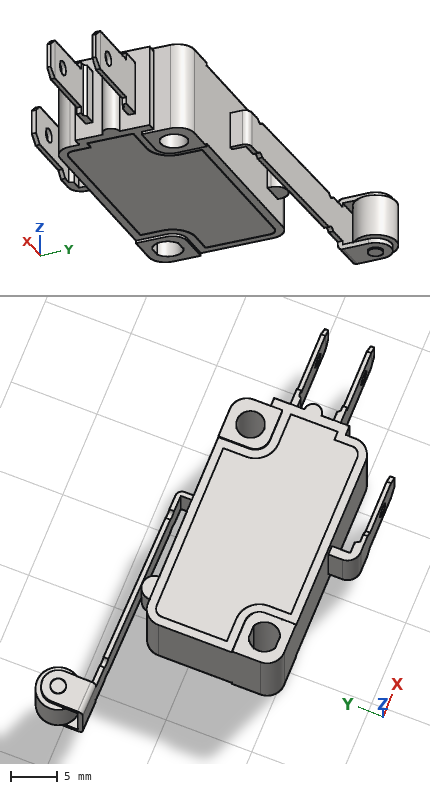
import cadquery as cq
import math


overall_length = 52.0
terminal_end_x = 39.5

body_length = 27.85
body_width = 15.85
corner_radius = 2.0
pad_half_height = 5.15
panel_half_height = 4.9
frame_half_height = 4.85
relief_margin = 1.0

hole_diameter = 3.1
front_hole_diameter = 3.45
front_hole = (2.85, 2.65)
rear_hole = (25.05, 13.1)
front_pad_size = (5.45, 5.3)
rear_pad_size = (5.35, 5.35)
pad_inner_radius = 1.7
panel_step_y = (4.05, 9.5)

tab_length = 1.1
tab_y = (3.1, 11.9)
bump_radius = 1.0
bump_y = 7.4

blade_thickness = 0.5
blade_wide = 6.25
blade_narrow = 4.7
blade_tip_width = 2.8
tip_length = 1.05
tip_end_thickness = 0.4
terminal_z = 0.05
embed = 1.05

straight_root_thickness = 0.85
straight_root_end_x = 30.5
straight_step_x = 31.4
straight_hole_diameter = 1.6
straight_hole_x = 36.3
straight_outer_y = (4.35, 10.25)

common_thickness = 1.05
common_leg_x = 14.9
common_bottom_y = -3.15
common_bend_radius = 1.55
common_root_end_x = 17.25
common_step_x = (18.45, 19.2)
common_end_x = 26.35
common_hole_diameter = 1.6
common_hole_x = 22.85
root_slope = 0.3

roller_diameter = 4.95
roller_width = 4.9
roller_x = terminal_end_x - overall_length + roller_diameter / 2
roller_y = 21.55
pin_diameter = 1.7
pin_length = 6.6
metal_thickness = 0.55
lever_width = 4.2
lever_tilt = math.radians(1.0)
lever_leg_x = 16.2
lever_corner_y = 18.05
lever_bend_radius = 0.8
notch_positions = (-5.25, 13.2)
notch_radius = 0.6
notch_depth = 0.3
fork_width = 3.75
fork_height = 6.25
fork_bend_radius = 0.6

plunger_radius = 1.4
plunger_center = (4.75, 16.2)


def centered_prism(sketch, height, z=0.0):
    """Extrude an XY sketch by the full height, centred on the given Z."""
    return sketch.extrude(height).translate((0, 0, z - height / 2))


def block(x_range, y_range, height):
    """Box from its X and Y limits, centred on Z = 0."""
    length = x_range[1] - x_range[0]
    width = y_range[1] - y_range[0]
    sketch = cq.Workplane("XY").rect(length, width, centered=False)
    return centered_prism(sketch, height).translate((x_range[0], y_range[0], 0))


def corner_zones(margin, height):
    """Blocks at the two mounting corners, grown inward by the margin."""
    front_x = front_pad_size[0] + margin
    front_y = front_pad_size[1] + margin
    rear_x = body_length - rear_pad_size[0] - margin
    rear_y = body_width - rear_pad_size[1] - margin
    radius = pad_inner_radius + margin
    front = block((0, front_x), (0, front_y), height).edges("|Z and >X and >Y").fillet(radius)
    rear = block((rear_x, body_length), (rear_y, body_width), height)
    return front.union(rear.edges("|Z and <X and <Y").fillet(radius))


def make_housing():
    body_x = (0, body_length)
    body_y = (0, body_width)
    frame = block(body_x, body_y, 2 * frame_half_height).edges("|Z").fillet(corner_radius)
    outline = block(body_x, body_y, 2 * pad_half_height).edges("|Z").fillet(corner_radius)
    pads = corner_zones(0, 2 * pad_half_height).intersect(outline)

    panel_height = 2 * panel_half_height
    panel_x = (relief_margin, body_length - relief_margin)
    panel_y = (relief_margin, body_width - relief_margin)
    panel = block(panel_x, panel_y, panel_height).edges("|Z").fillet(corner_radius - relief_margin)
    panel = panel.union(block((body_length / 2, body_length), panel_step_y, panel_height))
    panel = panel.cut(corner_zones(relief_margin, panel_height))

    tab_end_x = body_length + tab_length
    tab = block((body_length - embed, tab_end_x), tab_y, 2 * frame_half_height)
    bump = centered_prism(
        cq.Workplane("XY").center(tab_end_x, bump_y).circle(bump_radius), 2 * frame_half_height
    )

    housing = frame.union(pads).union(panel).union(tab).union(bump)
    opening_height = 2 * pad_half_height
    front_x, front_y = front_hole
    wide_hole = centered_prism(
        cq.Workplane("XY").center(front_x, front_y).circle(front_hole_diameter / 2), opening_height
    )
    flats_x = (front_x - front_hole_diameter, front_x + front_hole_diameter)
    flats_y = (front_y - hole_diameter / 2, front_y + hole_diameter / 2)
    wide_hole = wide_hole.intersect(block(flats_x, flats_y, opening_height))
    round_hole = centered_prism(
        cq.Workplane("XY").center(*rear_hole).circle(hole_diameter / 2), opening_height
    )
    return housing.cut(wide_hole).cut(round_hole)


def blade_outline(start_x, wide_end_x, narrow_start_x, end_x, hole_x, hole_size):
    """Tall prism along Y with the blade's face outline and its hole."""
    upper = [
        (start_x, blade_wide / 2),
        (wide_end_x, blade_wide / 2),
        (narrow_start_x, blade_narrow / 2),
        (end_x - tip_length, blade_narrow / 2),
        (end_x, blade_tip_width / 2),
    ]
    lower = [(x, -z) for x, z in reversed(upper)]
    reach = 2 * body_width
    face = cq.Workplane("XZ").polyline(upper + lower).close().extrude(reach, both=True)
    hole = cq.Workplane("XZ").center(hole_x, 0).circle(hole_size / 2)
    return face.cut(hole.extrude(reach, both=True)).translate((0, 0, terminal_z))


def make_straight_terminal(outer_y, inward):
    """Straight blade; inward is +1 or -1, the Y direction of the thicker root."""
    start_x = body_length - embed
    taper = (blade_thickness - tip_end_thickness) / 2
    profile = [
        (start_x, 0),
        (terminal_end_x - tip_length, 0),
        (terminal_end_x, taper),
        (terminal_end_x, blade_thickness - taper),
        (terminal_end_x - tip_length, blade_thickness),
        (straight_root_end_x + root_slope, blade_thickness),
        (straight_root_end_x, straight_root_thickness),
        (start_x, straight_root_thickness),
    ]
    points = [(x, outer_y + inward * depth) for x, depth in profile]
    side = centered_prism(cq.Workplane("XY").polyline(points).close(), blade_wide, terminal_z)
    face = blade_outline(
        start_x,
        straight_step_x,
        straight_step_x,
        terminal_end_x,
        straight_hole_x,
        straight_hole_diameter,
    )
    return side.intersect(face)


def make_common_terminal():
    inner_x = common_leg_x + common_thickness
    root_y = common_bottom_y + common_thickness
    blade_y = common_bottom_y + blade_thickness
    points = [
        (common_leg_x, embed),
        (common_leg_x, common_bottom_y),
        (common_end_x, common_bottom_y),
        (common_end_x, blade_y),
        (common_root_end_x + root_slope, blade_y),
        (common_root_end_x, root_y),
        (inner_x, root_y),
        (inner_x, embed),
    ]
    side = centered_prism(cq.Workplane("XY").polyline(points).close(), blade_wide, terminal_z)
    side = side.edges("|Z and <X and <Y").fillet(common_bend_radius)
    face = blade_outline(
        common_leg_x,
        common_step_x[0],
        common_step_x[1],
        common_end_x,
        common_hole_x,
        common_hole_diameter,
    )
    return side.intersect(face)


def lever_outer_y(x):
    """Y of the tilted lever's outer face at the given X."""
    return lever_corner_y + (lever_leg_x - x) * math.tan(lever_tilt)


def make_lever():
    """Tilted strip with a bent leg into the housing and notched edges."""
    start_x = roller_x
    drop = metal_thickness / math.cos(lever_tilt)
    inner_leg_x = lever_leg_x - metal_thickness
    leg_end_y = body_width - embed
    points = [
        (start_x, lever_outer_y(start_x)),
        (lever_leg_x, lever_outer_y(lever_leg_x)),
        (lever_leg_x, leg_end_y),
        (inner_leg_x, leg_end_y),
        (inner_leg_x, lever_outer_y(inner_leg_x) - drop),
        (start_x, lever_outer_y(start_x) - drop),
    ]
    strip = centered_prism(cq.Workplane("XY").polyline(points).close(), lever_width)
    strip = strip.edges("|Z and >X").edges(">Y").fillet(lever_bend_radius)

    notch_z = lever_width / 2 + notch_radius - notch_depth
    notch_centers = [(x, side * notch_z) for x in notch_positions for side in (-1, 1)]
    notches = cq.Workplane("XZ").pushPoints(notch_centers).circle(notch_radius)
    return strip.cut(notches.extrude(2 * body_width, both=True))


def make_fork():
    """U-shaped bracket with round-ended arms that holds the roller, tilted flush with the lever."""
    end_radius = fork_width / 2
    base_distance = (roller_y - lever_outer_y(roller_x)) * math.cos(lever_tilt) + metal_thickness
    fork_base_y = roller_y - base_distance
    sides_x = (roller_x - end_radius, roller_x + end_radius)
    fork = block(sides_x, (fork_base_y, roller_y), fork_height)
    fork = fork.edges("|X and <Y").fillet(fork_bend_radius)
    fork = fork.union(
        centered_prism(cq.Workplane("XY").center(roller_x, roller_y).circle(end_radius), fork_height)
    )
    gap_y = (fork_base_y + metal_thickness, roller_y + end_radius)
    fork = fork.cut(block(sides_x, gap_y, fork_height - 2 * metal_thickness))
    axis_start = (roller_x, roller_y, 0)
    axis_end = (roller_x, roller_y, 1)
    return fork.rotate(axis_start, axis_end, -math.degrees(lever_tilt))


def make_roller():
    center = cq.Workplane("XY").center(roller_x, roller_y)
    wheel = centered_prism(center.circle(roller_diameter / 2), roller_width)
    pin = centered_prism(center.circle(pin_diameter / 2), pin_length)
    return wheel.union(pin)


def make_plunger():
    """Round-nosed plunger with a straight stem into the housing."""
    center_x, center_y = plunger_center
    nose = centered_prism(cq.Workplane("XY").center(center_x, center_y).circle(plunger_radius), lever_width)
    stem_x = (center_x - plunger_radius, center_x + plunger_radius)
    return nose.union(block(stem_x, (body_width - embed, center_y), lever_width))


result = make_housing()
for outer_face_y, inward_direction in zip(straight_outer_y, (1, -1)):
    result = result.union(make_straight_terminal(outer_face_y, inward_direction))
result = result.union(make_common_terminal())
result = result.union(make_plunger())
result = result.union(make_lever()).union(make_fork()).union(make_roller())